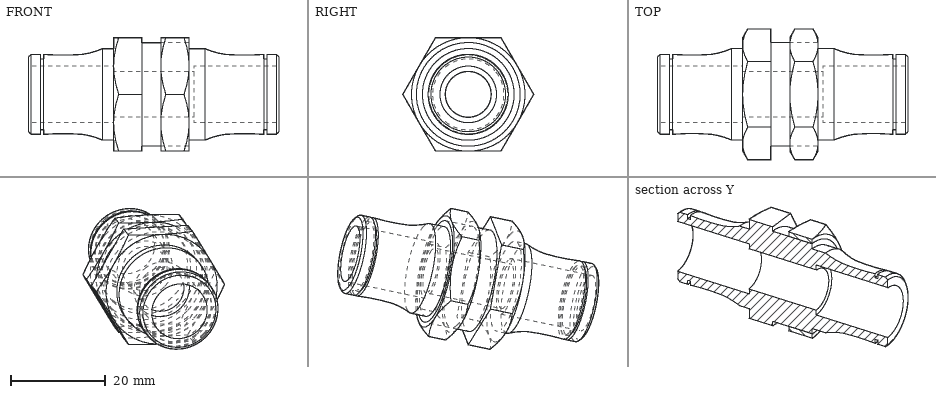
import cadquery as cq
import math

LENGTH = 53.0
HALF_LENGTH = LENGTH / 2

END_RADIUS = 8.5
END_CHAMFER = 0.6
GROOVE_START = 2.6
GROOVE_WIDTH = 0.65
GROOVE_RADIUS = 7.5
FLARE_START = 11.4
FLARE_LENGTH = 4.3
BARREL_SAG = 0.15
FLARE_SAG = 0.15
NECK_RADIUS = 9.7

COLLAR_RADIUS = 10.95
ACROSS_FLATS = 24.0
HEX_WIDTH = 6.0
HEX_START = -8.5
HEX_END = HEX_START + HEX_WIDTH
HEX_GAP = 4.0
NUT_START = HEX_END + HEX_GAP
NUT_END = NUT_START + HEX_WIDTH
CORNER_CHAMFER_ANGLE = 30.0

PASSAGE_RADIUS = 4.8
SOCKET_RADIUS = 6.0
SOCKET_DEPTH = 18.0


def cylinder(radius, start, end):
    """Cylinder on the X axis between two positions."""
    return cq.Workplane("YZ", origin=(start, 0, 0)).circle(radius).extrude(end - start)


def chamfered_hex(start, end, chamfer_start, chamfer_end):
    """Hex prism on X with points along Y, its corners turned off at the chosen faces."""
    corner_diameter = ACROSS_FLATS / math.cos(math.pi / 6)
    corner_radius = corner_diameter / 2
    flat_radius = ACROSS_FLATS / 2
    chamfer_length = (corner_radius - flat_radius) * math.tan(math.radians(CORNER_CHAMFER_ANGLE))
    prism = cq.Workplane("YZ", origin=(start, 0, 0)).polygon(6, corner_diameter).extrude(end - start)

    envelope = cq.Workplane("XY").moveTo(start, 0)
    if chamfer_start:
        envelope = envelope.lineTo(start, flat_radius).lineTo(start + chamfer_length, corner_radius)
    else:
        envelope = envelope.lineTo(start, corner_radius)
    if chamfer_end:
        envelope = envelope.lineTo(end - chamfer_length, corner_radius).lineTo(end, flat_radius)
    else:
        envelope = envelope.lineTo(end, corner_radius)
    envelope = envelope.lineTo(end, 0).close().revolve(360, (0, 0, 0), (1, 0, 0))
    return prism.intersect(envelope)


def tube_end():
    """Left half of the turned body, from the end face to the middle."""
    groove_start = -HALF_LENGTH + GROOVE_START
    groove_end = groove_start + GROOVE_WIDTH
    flare_start = -HALF_LENGTH + FLARE_START
    flare_end = flare_start + FLARE_LENGTH
    barrel_middle = ((groove_end + flare_start) / 2, END_RADIUS - BARREL_SAG)
    flare_middle = ((flare_start + flare_end) / 2, (END_RADIUS + NECK_RADIUS) / 2 - FLARE_SAG)
    return (
        cq.Workplane("XY")
        .moveTo(-HALF_LENGTH, 0)
        .lineTo(-HALF_LENGTH, END_RADIUS - END_CHAMFER)
        .lineTo(-HALF_LENGTH + END_CHAMFER, END_RADIUS)
        .lineTo(groove_start, END_RADIUS)
        .lineTo(groove_start, GROOVE_RADIUS)
        .lineTo(groove_end, GROOVE_RADIUS)
        .lineTo(groove_end, END_RADIUS)
        .threePointArc(barrel_middle, (flare_start, END_RADIUS))
        .threePointArc(flare_middle, (flare_end, NECK_RADIUS))
        .lineTo(0, NECK_RADIUS)
        .lineTo(0, 0)
        .close()
        .revolve(360, (0, 0, 0), (1, 0, 0))
    )


def make_body():
    """Fitting body with its fixed hex, the collar that carries the nut, and the bore."""
    left_end = tube_end()
    body = left_end.union(left_end.mirror("YZ"))
    body = body.union(cylinder(COLLAR_RADIUS, HEX_END, NUT_END))
    body = body.union(chamfered_hex(HEX_START, HEX_END, chamfer_start=True, chamfer_end=False))
    body = body.cut(cylinder(PASSAGE_RADIUS, -HALF_LENGTH, HALF_LENGTH))
    body = body.cut(cylinder(SOCKET_RADIUS, -HALF_LENGTH, -HALF_LENGTH + SOCKET_DEPTH))
    return body.cut(cylinder(SOCKET_RADIUS, HALF_LENGTH - SOCKET_DEPTH, HALF_LENGTH))


def make_nut():
    """Hex nut chamfered on both faces, bored to fit the collar."""
    nut = chamfered_hex(NUT_START, NUT_END, chamfer_start=True, chamfer_end=True)
    return nut.cut(cylinder(COLLAR_RADIUS, NUT_START, NUT_END))


body = make_body()
nut = make_nut()
result = cq.Compound.makeCompound([body.solids().val(), nut.solids().val()])